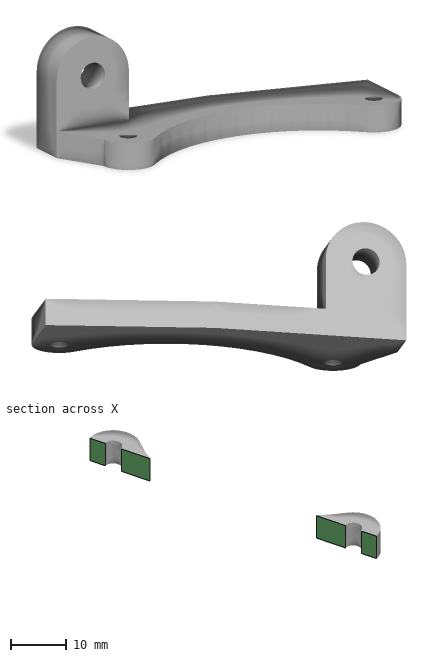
import cadquery as cq
import math

length = 66.0
width = 21.25
height = 22.0

plate_thickness = 5.0
ear_radius = 5.0
ear_hole_diameter = 3.3
top_edge_inset = 4.95

lug_thickness = 7.5
lug_width = 15.0
lug_hole_diameter = 5.0
lug_radius = lug_width / 2
lug_hole_height = height - lug_radius

ear_x = width - ear_radius
near_ear_y = 2 * ear_radius
far_ear_y = length - ear_radius

half_pitch = (far_ear_y - near_ear_y) / 2
recess_x = ear_x + half_pitch
recess_y = near_ear_y + half_pitch
recess_radius = math.hypot(half_pitch, half_pitch) - ear_radius
tangent_offset = ear_radius * math.sqrt(0.5)
tangent_x = ear_x + tangent_offset


def make_plate():
    """Plate outline, extruded, with a hole through each ear."""
    plate = (
        cq.Workplane("XY")
        .moveTo(0, 0)
        .lineTo(lug_thickness, 0)
        .lineTo(ear_x, near_ear_y - ear_radius)
        .threePointArc((width, near_ear_y), (tangent_x, near_ear_y + tangent_offset))
        .threePointArc((recess_x - recess_radius, recess_y), (tangent_x, far_ear_y - tangent_offset))
        .threePointArc((width, far_ear_y), (ear_x, length))
        .lineTo(top_edge_inset, length)
        .lineTo(0, recess_y)
        .close()
        .extrude(plate_thickness)
    )
    ear_holes = (
        cq.Workplane("XY")
        .pushPoints([(ear_x, near_ear_y), (ear_x, far_ear_y)])
        .circle(ear_hole_diameter / 2)
        .extrude(plate_thickness)
    )
    return plate.cut(ear_holes)


def make_lug():
    """Round-topped upright lug, rising from the base level."""
    return (
        cq.Workplane("YZ")
        .moveTo(0, 0)
        .lineTo(lug_width, 0)
        .lineTo(lug_width, lug_hole_height)
        .threePointArc((lug_radius, height), (0, lug_hole_height))
        .close()
        .extrude(lug_thickness)
    )


def make_lug_hole():
    """Bore through the lug along X."""
    return (
        cq.Workplane("YZ")
        .center(lug_radius, lug_hole_height)
        .circle(lug_hole_diameter / 2)
        .extrude(lug_thickness)
    )


result = make_plate().union(make_lug()).cut(make_lug_hole())